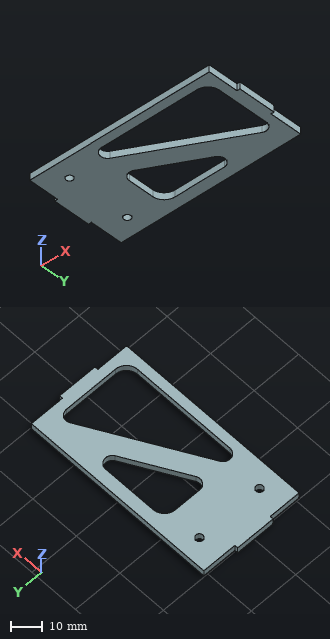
import cadquery as cq
import math

length = 82.0
width = 43.0
thickness = 3.0
tab_reach = 1.3
tab_width = 16.0
tab_center_y = -0.5

hole_diameter = 2.95
hole_x = -29.5
hole_spacing = 27.1

rib_angle = 28.5
square_corner_radius = 5.0
acute_corner_radius = 3.0
upper_corner = (-16.4, 16.6)
upper_window_height = 21.1
lower_corner = (35.7, -17.55)
lower_window_height = 32.2


def triangular_window(corner, height, direction):
    """Right triangle running from its square corner; direction 1 is right and down, -1 left and up."""
    x, y = corner
    run = height / math.tan(math.radians(rib_angle))
    window = (
        cq.Workplane("XY")
        .moveTo(x, y)
        .lineTo(x + direction * run, y)
        .lineTo(x, y - direction * height)
        .close()
        .extrude(thickness)
    )
    square_edge = cq.selectors.NearestToPointSelector((x, y, thickness / 2))
    window = window.edges(square_edge).fillet(square_corner_radius)
    for end in ("X", "Y"):
        sign = ">" if (direction > 0) == (end == "X") else "<"
        window = window.edges(f"|Z and {sign}{end}").fillet(acute_corner_radius)
    return window


plate = cq.Workplane("XY").box(length - 2 * tab_reach, width, thickness, centered=(True, True, False))
tabs = (
    cq.Workplane("XY")
    .center(0, tab_center_y)
    .box(length, tab_width, thickness, centered=(True, True, False))
)
holes = (
    cq.Workplane("XY")
    .pushPoints([(hole_x, side * hole_spacing / 2) for side in (-1, 1)])
    .circle(hole_diameter / 2)
    .extrude(thickness)
)

result = (
    plate.union(tabs)
    .cut(holes)
    .cut(triangular_window(upper_corner, upper_window_height, 1))
    .cut(triangular_window(lower_corner, lower_window_height, -1))
)